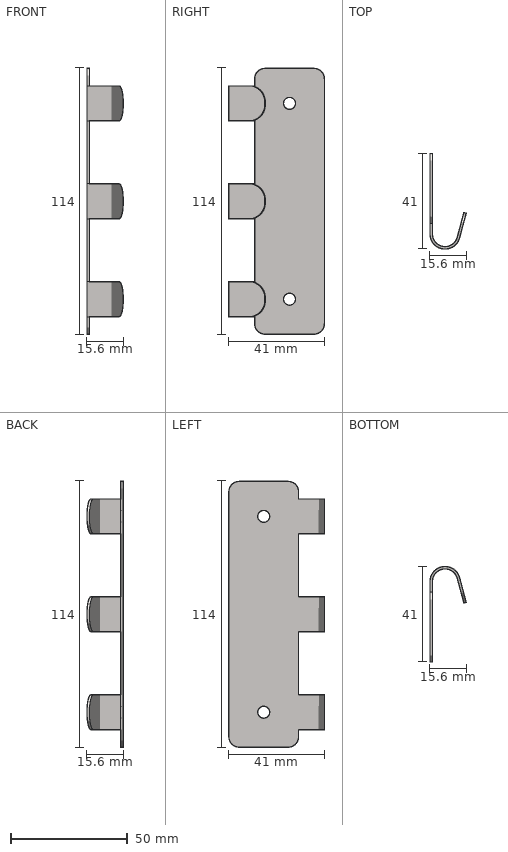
import cadquery as cq
import math

height = 114.0
depth = 41.0
overall_width = 15.6

thickness = 1.1
plate_width = 30.0
corner_radius = 4.6
hole_diameter = 5.0

hook_height = 15.0
hook_pitch = 42.0
bend_radius = 6.5
lean_angle = math.radians(15)
tip_radius = 7.0

plate_back = depth
plate_front = plate_back - plate_width
hole_y = plate_back - plate_width / 2
lean_x = math.sin(lean_angle)
lean_y = math.cos(lean_angle)
arm_length = (overall_width - bend_radius * (1 + lean_y)) / lean_x


def bend_point(radius, angle):
    """Point on the bend, with the angle measured from +X about the bend axis."""
    return (
        bend_radius + radius * math.cos(angle),
        bend_radius + radius * math.sin(angle),
    )


def along_arm(point):
    """Move a point from the end of the bend to the tip of the arm."""
    return (point[0] + arm_length * lean_x, point[1] + arm_length * lean_y)


def make_plate():
    plate = (
        cq.Workplane("XY")
        .box(thickness, plate_width, height, centered=(False, False, True))
        .translate((0, plate_front, 0))
        .edges("|X")
        .fillet(corner_radius)
    )
    holes = (
        cq.Workplane("YZ")
        .pushPoints([(hole_y, -hook_pitch), (hole_y, hook_pitch)])
        .circle(hole_diameter / 2)
        .extrude(thickness)
    )
    return plate.cut(holes)


def make_hook():
    """J-shaped strip, reaching back into the plate for a full joint."""
    joint_y = (plate_front + hole_y) / 2
    inner_radius = bend_radius - thickness
    bottom = -math.pi / 2
    outer_end = bend_point(bend_radius, -lean_angle)
    inner_end = bend_point(inner_radius, -lean_angle)
    strip = (
        cq.Workplane("XY")
        .moveTo(0, joint_y)
        .lineTo(0, bend_radius)
        .threePointArc(bend_point(bend_radius, bottom), outer_end)
        .lineTo(*along_arm(outer_end))
        .lineTo(*along_arm(inner_end))
        .lineTo(*inner_end)
        .threePointArc(bend_point(inner_radius, bottom), (thickness, bend_radius))
        .lineTo(thickness, joint_y)
        .close()
        .extrude(hook_height / 2, both=True)
    )
    tip_normal = cq.Vector(lean_y, -lean_x, 0)
    tip_corners = strip.edges(cq.selectors.ParallelDirSelector(tip_normal))
    return tip_corners.fillet(tip_radius)


result = make_plate()
hook = make_hook()
for row in (-1, 0, 1):
    result = result.union(hook.translate((0, 0, row * hook_pitch)))